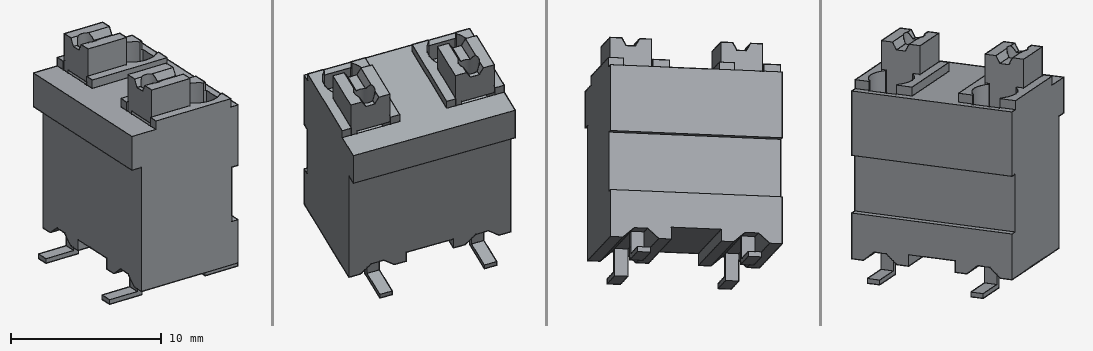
import cadquery as cq
import math


housing_width = 11.63
pole_pitch = 7.5
pole_width = housing_width - pole_pitch
pole_centers = [-pole_pitch / 2, pole_pitch / 2]

total_height = 15.46
base_z = 1.19
deck_z = 12.85
pad_top_z = 13.47
shoulder_bottom_z = 10.36

housing_depth = 7.75
shoulder_overhang = 0.77
pad_front_y = 1.15
pad_back_y = 7.16

back_groove_depth = 0.51
back_groove_floor_y = housing_depth - back_groove_depth
back_groove_bottom_z = 4.38
back_groove_top_z = 8.38

center_recess_height = 0.8
leg_recess_height = 0.66
leg_recess_mouth = 2.43

leg_width = 0.9
leg_thickness = 0.39
foot_thickness = 0.34
front_leg_inner_y = 1.15
back_leg_inner_y = 6.2
front_toe_y = -1.47
back_toe_y = 8.83

cavity_depth = 1.35
cavity_floor_z = deck_z - cavity_depth
entry_offset_x = 0.06
entry_slot_width = 1.98
entry_bulge_width = 3.0
entry_bulge_start_y = 4.5
entry_bulge_end_y = 7.0
entry_back_y = back_groove_floor_y

button_width = 2.81
button_front_gap = 0.11
button_front_y = pad_front_y + button_front_gap
button_depth = 3.09
button_back_y = button_front_y + button_depth
button_lift = 0.11
button_foot_width = 0.46
button_undercut_depth = 1.85
button_groove_depth = 0.51
button_groove_mouth = 1.2
button_groove_floor = 0.63
button_hole_diameter = 1.42
button_hole_from_front = 0.99
button_hole_offset_x = -0.03


def box(x_min, x_max, y_min, y_max, z_min, z_max):
    """Solid block between the given limits."""
    size = (x_max - x_min, y_max - y_min, z_max - z_min)
    return cq.Workplane("XY").box(*size, centered=False).translate((x_min, y_min, z_min))


def housing_block():
    """Side outline with the front shoulder and back groove, run across the width."""
    outline = [
        (0, base_z),
        (0, shoulder_bottom_z),
        (-shoulder_overhang, shoulder_bottom_z),
        (-shoulder_overhang, deck_z),
        (housing_depth, deck_z),
        (housing_depth, back_groove_top_z),
        (back_groove_floor_y, back_groove_top_z),
        (back_groove_floor_y, back_groove_bottom_z),
        (housing_depth, back_groove_bottom_z),
        (housing_depth, base_z),
    ]
    return cq.Workplane("YZ").polyline(outline).close().extrude(housing_width / 2, both=True)


def center_recess():
    """Rectangular channel under the housing, between the poles."""
    half_width = (pole_pitch - pole_width) / 2
    return box(-half_width, half_width, 0, housing_depth, base_z, base_z + center_recess_height)


def leg_recess(center_x):
    """Tapered channel under one pole, as wide at its roof as the legs."""
    roof_z = base_z + leg_recess_height
    outline = [
        (center_x - leg_recess_mouth / 2, base_z),
        (center_x - leg_width / 2, roof_z),
        (center_x + leg_width / 2, roof_z),
        (center_x + leg_recess_mouth / 2, base_z),
    ]
    return cq.Workplane("XZ").polyline(outline).close().extrude(-housing_depth)


def pad(center_x):
    """Raised pad on the deck around one pole's cavity."""
    half_width = pole_width / 2
    return box(center_x - half_width, center_x + half_width, pad_front_y, pad_back_y, deck_z, pad_top_z)


def wire_entry(center_x):
    """Straight slot with bulged sides that runs from the button to the back."""
    entry_x = center_x + entry_offset_x
    half_slot = entry_slot_width / 2
    half_bulge = entry_bulge_width / 2
    bulge_middle_y = (entry_bulge_start_y + entry_bulge_end_y) / 2
    return (
        cq.Workplane("XY", origin=(entry_x, 0, cavity_floor_z))
        .moveTo(-half_slot, button_back_y)
        .lineTo(half_slot, button_back_y)
        .lineTo(half_slot, entry_bulge_start_y)
        .threePointArc((half_bulge, bulge_middle_y), (half_slot, entry_bulge_end_y))
        .lineTo(half_slot, entry_back_y)
        .lineTo(-half_slot, entry_back_y)
        .lineTo(-half_slot, entry_bulge_end_y)
        .threePointArc((-half_bulge, bulge_middle_y), (-half_slot, entry_bulge_start_y))
        .close()
        .extrude(pad_top_z - cavity_floor_z)
    )


def button_pocket(center_x):
    """Pocket that holds one button, with a small gap in front of it."""
    half_width = button_width / 2
    return box(
        center_x - half_width, center_x + half_width, pad_front_y, button_back_y, cavity_floor_z, pad_top_z
    )


def make_housing():
    housing = housing_block().cut(center_recess())
    for center_x in pole_centers:
        housing = housing.union(pad(center_x))
        housing = housing.cut(leg_recess(center_x))
        housing = housing.cut(wire_entry(center_x))
        housing = housing.cut(button_pocket(center_x))
    return housing


def make_button(center_x):
    """Button with a tapered groove and a round hole on top, undercut at its front right corner.

    The hole opens into the undercut; the left foot and the rear rest on the pocket floor.
    """
    half_width = button_width / 2
    underside_z = deck_z + button_lift
    groove_z = total_height - button_groove_depth
    outline = [
        (-half_width, cavity_floor_z),
        (-half_width, total_height),
        (-button_groove_mouth / 2, total_height),
        (-button_groove_floor / 2, groove_z),
        (button_groove_floor / 2, groove_z),
        (button_groove_mouth / 2, total_height),
        (half_width, total_height),
        (half_width, cavity_floor_z),
    ]
    body = (
        cq.Workplane("XZ", origin=(center_x, button_front_y, 0))
        .polyline(outline)
        .close()
        .extrude(-button_depth)
    )
    undercut = box(
        center_x - half_width + button_foot_width,
        center_x + half_width,
        button_front_y,
        button_front_y + button_undercut_depth,
        cavity_floor_z,
        underside_z,
    )
    hole = (
        cq.Workplane("XY", origin=(center_x + button_hole_offset_x, 0, underside_z))
        .center(0, button_front_y + button_hole_from_front)
        .circle(button_hole_diameter / 2)
        .extrude(total_height - underside_z)
    )
    return body.cut(undercut).cut(hole)


def make_leg(center_x, inner_y, toe_y):
    """L-shaped leg from the recess roof down to a foot that ends at toe_y."""
    outer_y = inner_y + math.copysign(leg_thickness, toe_y - inner_y)
    outline = [
        (inner_y, 0),
        (toe_y, 0),
        (toe_y, foot_thickness),
        (outer_y, foot_thickness),
        (outer_y, base_z + leg_recess_height),
        (inner_y, base_z + leg_recess_height),
    ]
    return (
        cq.Workplane("YZ", origin=(center_x, 0, 0))
        .polyline(outline)
        .close()
        .extrude(leg_width / 2, both=True)
    )


bodies = [make_housing().val()]
for pole_x in pole_centers:
    bodies.append(make_button(pole_x).val())
    bodies.append(make_leg(pole_x, front_leg_inner_y, front_toe_y).val())
    bodies.append(make_leg(pole_x, back_leg_inner_y, back_toe_y).val())

result = cq.Compound.makeCompound(bodies)